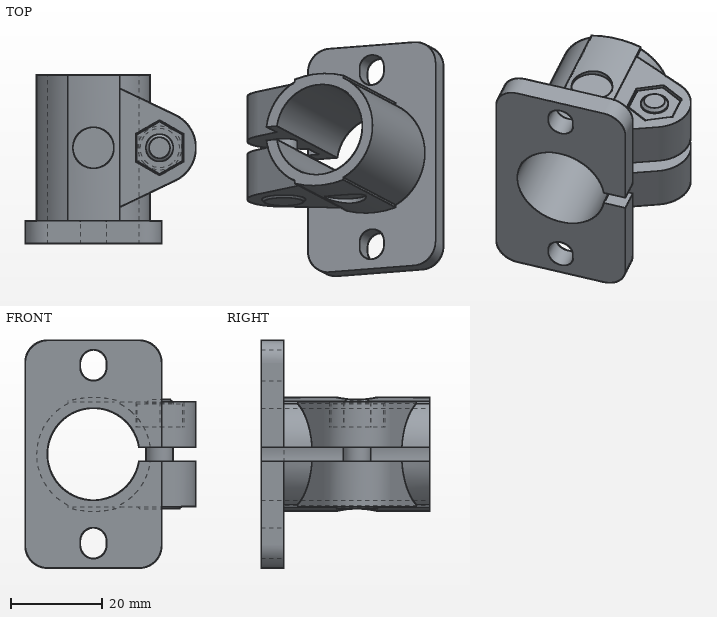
import cadquery as cq

plate_width = 30
plate_height = 50
plate_thickness = 5
plate_corner_radius = 5
slot_width = 5.7
slot_length = 6.7
slot_offset = 19.5

tube_diameter = 25
bore_diameter = 20.15
part_depth = 37
slit_width = 3

pad_left = -5.65
pad_right = 5.8
pad_crown_radius = 20
pad_recess_diameter = 9
pad_recess_floor = 11.5

lug_height = 11.5
lug_end_radius = 8
lug_center_x = 14.5
lug_root_x = pad_right
lug_root_half_length = 13
mid_y = (plate_thickness + part_depth) / 2

screw_diameter = 6
screw_reach = 12
screw_chamfer = 0.7
head_diameter = 10
head_height = 6
nut_across_flats = 10
nut_pocket_across_flats = 10.5
nut_height = 5
nut_top = 11


def vertical_cylinder(x, diameter, bottom, top):
    """Cylinder along Z, halfway along the tube."""
    plane = cq.Workplane("XY", origin=(x, mid_y, bottom))
    return plane.circle(diameter / 2).extrude(top - bottom)


def make_plate():
    plate = cq.Workplane("XZ").rect(plate_width, plate_height).extrude(-plate_thickness)
    plate = plate.edges("|Y").fillet(plate_corner_radius)
    slots = (
        cq.Workplane("XZ")
        .pushPoints([(0, slot_offset), (0, -slot_offset)])
        .slot2D(slot_length, slot_width, 90)
        .extrude(-plate_thickness)
    )
    return plate.cut(slots)


def make_pad():
    """Upper pad, whose crown just touches the top of the tube."""
    crown_z = tube_diameter / 2
    crown_center_z = crown_z - pad_crown_radius
    left_z = crown_center_z + (pad_crown_radius**2 - pad_left**2) ** 0.5
    right_z = crown_center_z + (pad_crown_radius**2 - pad_right**2) ** 0.5
    return (
        cq.Workplane("XZ", origin=(0, plate_thickness, 0))
        .moveTo(pad_left, 0)
        .lineTo(pad_left, left_z)
        .threePointArc((0, crown_z), (pad_right, right_z))
        .lineTo(pad_right, 0)
        .close()
        .extrude(plate_thickness - part_depth)
    )


def make_lugs():
    """Rounded end joined to the tube by two straight flanks tangent to it."""
    root_dx = lug_root_x - lug_center_x
    root_distance_squared = root_dx**2 + lug_root_half_length**2
    along = lug_end_radius**2 / root_distance_squared
    across = lug_end_radius * (root_distance_squared - lug_end_radius**2) ** 0.5 / root_distance_squared
    tangent_x = lug_center_x + along * root_dx + across * lug_root_half_length
    tangent_dy = along * lug_root_half_length - across * root_dx
    return (
        cq.Workplane("XY", origin=(0, mid_y, -lug_height))
        .moveTo(0, -lug_root_half_length)
        .lineTo(lug_root_x, -lug_root_half_length)
        .lineTo(tangent_x, -tangent_dy)
        .threePointArc((lug_center_x + lug_end_radius, 0), (tangent_x, tangent_dy))
        .lineTo(lug_root_x, lug_root_half_length)
        .lineTo(0, lug_root_half_length)
        .close()
        .extrude(2 * lug_height)
    )


def make_hexagon(across_flats, bottom, top):
    """Hexagonal prism on the screw axis, with two flats facing along X."""
    across_corners = across_flats * 2 / 3**0.5
    prism = cq.Workplane("XY").polygon(6, across_corners).extrude(top - bottom)
    prism = prism.rotate((0, 0, 0), (0, 0, 1), 30)
    return prism.translate((lug_center_x, mid_y, bottom))


def make_screw():
    shank = vertical_cylinder(lug_center_x, screw_diameter, -screw_reach, screw_reach)
    shank = shank.faces(">Z").chamfer(screw_chamfer)
    head = vertical_cylinder(lug_center_x, head_diameter, -screw_reach, head_height - screw_reach)
    head = head.faces("<Z").chamfer(screw_chamfer)
    return shank.union(head)


pad = make_pad()
tube = cq.Workplane("XZ").circle(tube_diameter / 2).extrude(-part_depth)
body = make_plate().union(tube).union(make_lugs())
body = body.union(pad).union(pad.mirror("XY"))

for low, high in [
    (pad_recess_floor, tube_diameter / 2),
    (-tube_diameter / 2, -pad_recess_floor),
]:
    body = body.cut(vertical_cylinder(0, pad_recess_diameter, low, high))
body = body.cut(cq.Workplane("XZ").circle(bore_diameter / 2).extrude(-part_depth))
slit_length = lug_center_x + lug_end_radius
slit = cq.Workplane("XY").box(slit_length, part_depth, slit_width, centered=(False, False, True))
body = body.cut(slit)

nut_seat = nut_top - nut_height
body = body.cut(make_hexagon(nut_pocket_across_flats, nut_seat, lug_height))
body = body.union(make_hexagon(nut_across_flats, nut_seat, nut_top))
result = body.union(make_screw())